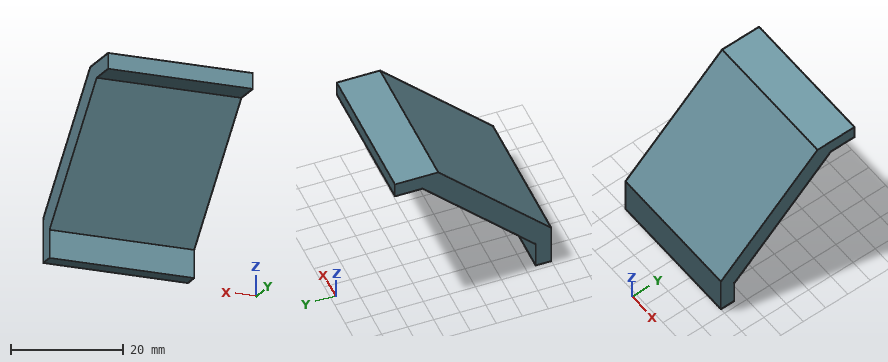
import cadquery as cq

width = 28.0
span = 30.0
wall = 3.0
flange_length = 8.3

half_span = span / 2
outer_bend = half_span - flange_length
inner_bend = outer_bend + wall
inner_face = half_span - wall

profile = [
    (-half_span, -half_span),
    (-half_span, -outer_bend),
    (outer_bend, half_span),
    (half_span, half_span),
    (half_span, inner_face),
    (inner_bend, inner_face),
    (-inner_face, -inner_bend),
    (-inner_face, -half_span),
]

result = cq.Workplane("YZ").polyline(profile).close().extrude(width / 2, both=True)